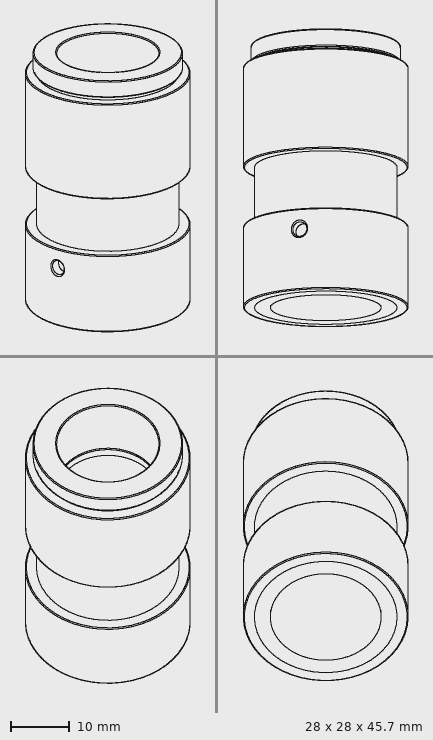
import cadquery as cq
import math

total_height = 45.65
body_radius = 28.0 / 2
edge_chamfer = 0.2

collar_radius = 25.4 / 2
collar_bottom = 42.6
barrel_top = 41.95
barrel_bottom = 24.5
waist_radius = 12.1
entry_radius = 8.7
seat_radius = 9.4
seat_top = 34.7

ring_top = 14.1
screw_hole_radius = 2.5 / 2
screw_hole_height = 10.6
screw_hole_chamfer = 0.27

retainer_chamfer = 0.35
retainer_bottom = 32.9
lens_bottom = 30.6
lens_curvature_radius = 41.1


def chamfered_cylinder(radius, bottom, top):
    """Cylinder on the Z axis with both rims chamfered."""
    cylinder = cq.Workplane("XY", origin=(0, 0, bottom)).circle(radius).extrude(top - bottom)
    return cylinder.edges("%CIRCLE").chamfer(edge_chamfer)


def make_tube():
    """Main tube: collar and barrel on a plain waist, bored through from both ends."""
    tube = cq.Workplane("XY").circle(waist_radius).extrude(total_height)
    tube = tube.union(chamfered_cylinder(body_radius, barrel_bottom, barrel_top))
    tube = tube.union(chamfered_cylinder(collar_radius, collar_bottom, total_height))
    tube = tube.faces(">Z").workplane().circle(entry_radius).cutThruAll()
    tube = tube.faces(">Z").edges(cq.selectors.RadiusNthSelector(0)).chamfer(edge_chamfer)
    seat = cq.Workplane("XY").circle(seat_radius).extrude(seat_top)
    return tube.cut(seat)


def make_grip_ring():
    """Ring on the foot of the waist with a countersunk radial hole on its -Y side."""
    ring = chamfered_cylinder(body_radius, 0, ring_top)
    ring = ring.cut(cq.Workplane("XY").circle(waist_radius).extrude(ring_top))
    outside = cq.Workplane("XZ", origin=(0, -body_radius, screw_hole_height))
    hole = outside.circle(screw_hole_radius).extrude(-body_radius)
    countersink = outside.circle(screw_hole_radius + screw_hole_chamfer).extrude(-screw_hole_chamfer, taper=45)
    return ring.cut(hole).cut(countersink)


def make_retainer():
    """Spacer ring between the seat shoulder and the lens, chamfered at its upper inner rim."""
    retainer = cq.Workplane("XY", origin=(0, 0, retainer_bottom)).circle(seat_radius).circle(entry_radius)
    retainer = retainer.extrude(seat_top - retainer_bottom)
    return retainer.faces(">Z").edges(cq.selectors.RadiusNthSelector(0)).chamfer(retainer_chamfer)


def lens_height(radius):
    """Height of the domed lens face, which meets the retainer at its inner rim."""
    center_height = retainer_bottom - math.sqrt(lens_curvature_radius**2 - entry_radius**2)
    return center_height + math.sqrt(lens_curvature_radius**2 - radius**2)


def make_lens():
    """Plano-convex lens filling the seat, its dome facing up."""
    profile = (
        cq.Workplane("XZ")
        .moveTo(0, lens_bottom)
        .lineTo(seat_radius, lens_bottom)
        .lineTo(seat_radius, lens_height(seat_radius))
        .threePointArc((seat_radius / 2, lens_height(seat_radius / 2)), (0, lens_height(0)))
    )
    return profile.close().revolve(360, (0, 0, 0), (0, 1, 0))


tube = make_tube()
grip_ring = make_grip_ring()
retainer = make_retainer()
lens = make_lens()

result = cq.Compound.makeCompound([tube.val(), grip_ring.val(), retainer.val(), lens.val()])